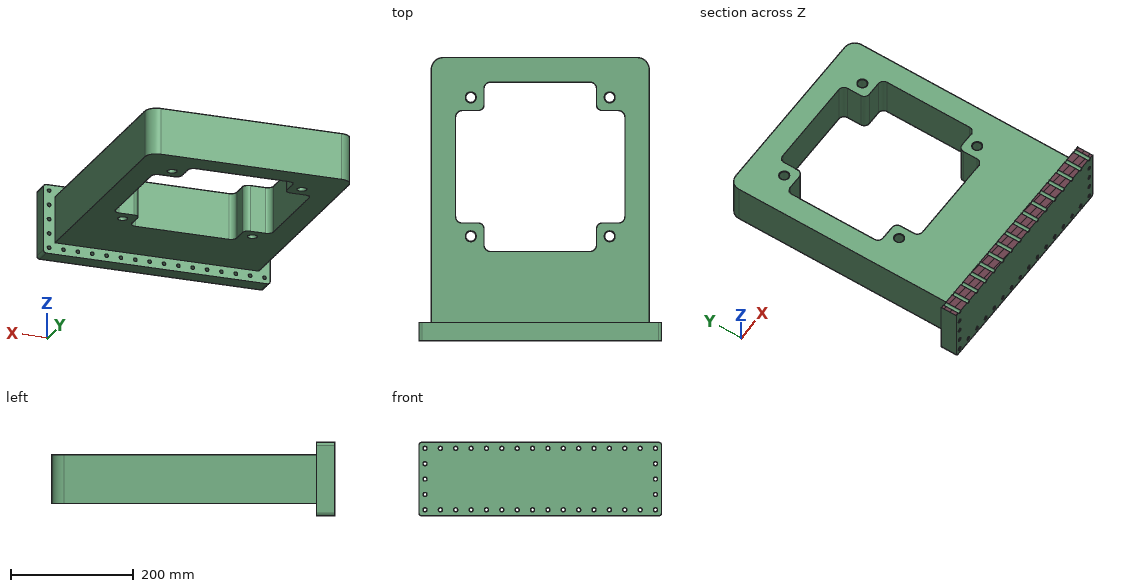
import cadquery as cq

flange_width = 395.0
flange_height = 120.0
flange_thickness = 30.0
flange_corner_radius = 5.0

flange_overhang = 20.0
frame_width = flange_width - 2 * flange_overhang
frame_height = flange_height - 2 * flange_overhang
overall_depth = 461.0
frame_depth = overall_depth - flange_thickness
frame_corner_radius = 20.0

side_wall = 40.0
opening_size = frame_width - 2 * side_wall
opening_arm_width = 182.5
opening_corner_radius = 10.0
opening_center_y = 283.0

mounting_hole_diameter = 16.0
mounting_hole_chamfer = 1.0
mounting_hole_spacing = 226.0

bolt_hole_diameter = 6.0
bolt_hole_chamfer = 0.5
bolt_pitch = 25.0
bolt_columns = 16
bolt_rows = 5


def make_flange():
    """Upright plate with rounded corners."""
    return (
        cq.Workplane("XY")
        .box(flange_width, flange_thickness, flange_height)
        .edges("|Y")
        .fillet(flange_corner_radius)
        .translate((0, flange_thickness / 2, 0))
    )


def make_frame():
    """Block behind the flange, rounded at its two far corners."""
    return (
        cq.Workplane("XY")
        .box(frame_width, frame_depth, frame_height)
        .edges("|Z and >Y")
        .fillet(frame_corner_radius)
        .translate((0, flange_thickness + frame_depth / 2, 0))
    )


def make_opening():
    """Cross-shaped cutter with all vertical edges rounded."""
    long_in_x = cq.Workplane("XY").box(opening_size, opening_arm_width, frame_height)
    long_in_y = cq.Workplane("XY").box(opening_arm_width, opening_size, frame_height)
    return (
        long_in_x.union(long_in_y)
        .edges("|Z")
        .fillet(opening_corner_radius)
        .translate((0, opening_center_y, 0))
    )


def make_hole(diameter, chamfer, depth):
    """Pin pointing down from z = 0, flared at its top to chamfer the hole's mouth."""
    radius = diameter / 2
    return (
        cq.Workplane("XZ")
        .moveTo(0, 0)
        .lineTo(radius + chamfer, 0)
        .lineTo(radius, -chamfer)
        .lineTo(radius, -depth)
        .lineTo(0, -depth)
        .close()
        .revolve(360, (0, 0), (0, 1))
        .val()
    )


def make_mounting_holes():
    """Four vertical holes on a square centred on the opening."""
    hole = make_hole(mounting_hole_diameter, mounting_hole_chamfer, frame_height)
    return (
        cq.Workplane("XY", origin=(0, opening_center_y, frame_height / 2))
        .rect(mounting_hole_spacing, mounting_hole_spacing, forConstruction=True)
        .vertices()
        .eachpoint(lambda location: hole.moved(location))
    )


def bolt_positions():
    """(x, z) centres of the bolt holes along the flange's rim."""
    positions = []
    for column in range(bolt_columns):
        for row in range(bolt_rows):
            on_side = column in (0, bolt_columns - 1)
            on_top_or_bottom = row in (0, bolt_rows - 1)
            if on_side or on_top_or_bottom:
                x = (column - (bolt_columns - 1) / 2) * bolt_pitch
                z = (row - (bolt_rows - 1) / 2) * bolt_pitch
                positions.append((x, z))
    return positions


def make_bolt_holes():
    """Holes through the flange, chamfered at its front face, at every bolt position."""
    hole = make_hole(bolt_hole_diameter, bolt_hole_chamfer, flange_thickness)
    return (
        cq.Workplane("XZ")
        .pushPoints(bolt_positions())
        .eachpoint(lambda location: hole.moved(location), useLocalCoordinates=True)
    )


result = (
    make_flange()
    .union(make_frame())
    .cut(make_opening())
    .cut(make_mounting_holes())
    .cut(make_bolt_holes())
)